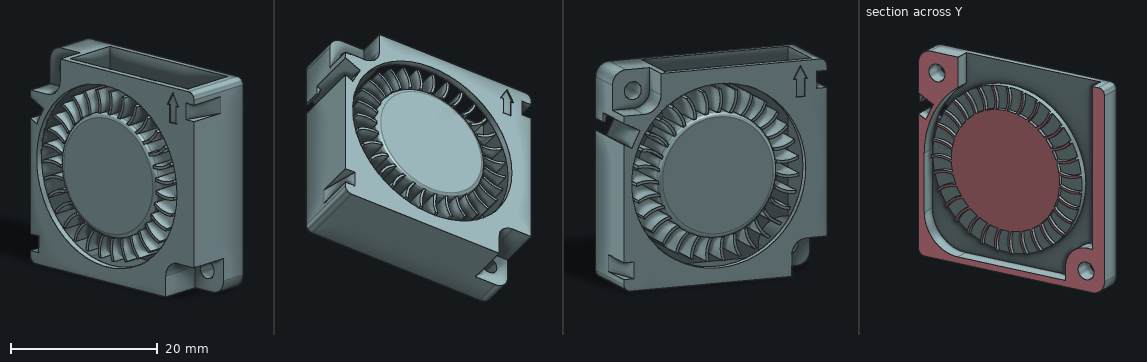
import cadquery as cq
import math

SIDE = 30.0
DEPTH = 10.0
PLATE = 1.0
HALF = SIDE / 2
FRONT = -DEPTH / 2
BACK = DEPTH / 2
INNER_FRONT = FRONT + PLATE
INNER_BACK = BACK - PLATE

LARGE_CORNER_R = 2.0
SMALL_CORNER_R = 1.0

FAN_X = -1.0
INLET_R = 25.7 / 2

HOLE_DIA = 2.5
HOLE_INSET = 3.0
UPPER_RECESS_R = 2.5
UPPER_RECESS_SIZE = HOLE_INSET + UPPER_RECESS_R
UPPER_RECESS_DEPTH = 4.0
LOWER_RECESS_R = 2.2
LOWER_RECESS_SIZE = HOLE_INSET + LOWER_RECESS_R
LOWER_RECESS_DEPTH = 6.0

OUTLET_LEFT = -8.55
CAVITY_RIGHT = 13.02
CAVITY_FLOOR = PLATE - HALF
CAVITY_CORNER_R = 5.4
VOLUTE_R = HALF - PLATE + FAN_X
SCREW_WALL_INSET = 6.35
SCREW_WALL_R = 3.5

SLOT_SLOPE = 0.5
SLOT_ANGLE = 180 - math.degrees(math.atan(SLOT_SLOPE))
SLOT_WIDTH = 2.65
SLOT_START = 13.68
SLOT_LENGTH = 6.0
HOOK_DEPTH = 2.73
HOOK_ROOT_WIDTH = 0.7
HOOK_MID_WIDTH = 0.42
HOOK_TIP_WIDTH = 0.33
HOOK_MID_Z = 7.65
HOOK_TIP_Z = 7.17

NOTCH_WIDTH = 1.5
NOTCH_HEIGHT = 2.35
NOTCH_DEPTH = 5.43
NOTCH_Z = 12.12

ARROW_X = 11.1
ARROW_TIP_Z = 14.28
ARROW_HEAD_Z = 12.45
ARROW_TAIL_Z = 9.95
ARROW_HEAD_WIDTH = 2.0
ARROW_SHAFT_WIDTH = 1.25
ARROW_DEPTH = 0.2

SEAT_R = 6.0
SEAT_HEIGHT = 0.5
DISC_R = 12.0
DISC_THICKNESS = PLATE
HUB_R = 17.5 / 2
HUB_ROUND = 0.6
ROTOR_SETBACK = 0.3
BLADE_COUNT = 31
BLADE_THICKNESS = 0.4
BLADE_CURVE_R = 4.5
BLADE_MID_R = 10.38
BLADE_MID_ANGLE = 5.9
BLADE_HALF_SWEEP = 24.0
ROTOR_FRONT = FRONT + ROTOR_SETBACK
DISC_BACK = INNER_BACK - SEAT_HEIGHT
DISC_FRONT = DISC_BACK - DISC_THICKNESS


def sketch_at(y):
    """XZ workplane at depth y; extrusions run toward +Y."""
    return cq.Workplane(cq.Plane(origin=(0, y, 0), xDir=(1, 0, 0), normal=(0, -1, 0)))


def fan_cylinder(radius, y_start, y_end):
    return sketch_at(y_start).center(FAN_X, 0).circle(radius).extrude(y_start - y_end)


def housing_block():
    block = cq.Workplane("XY").box(SIDE, DEPTH, SIDE)
    for edge, radius in (
        ("<X and >Z", LARGE_CORNER_R),
        (">X and <Z", LARGE_CORNER_R),
        (">X and >Z", SMALL_CORNER_R),
        ("<X and <Z", SMALL_CORNER_R),
    ):
        x_side, z_side = edge.split(" and ")
        block = block.faces(x_side).edges(z_side).fillet(radius)
    return block


def air_cavity():
    """Volute cavity: round at the upper left, stepped in around the lower screw hole."""
    arc_middle = 1 - math.sqrt(0.5)
    left = FAN_X - VOLUTE_R
    corner_mid = CAVITY_CORNER_R * arc_middle
    volute_end_angle = math.acos((OUTLET_LEFT - FAN_X) / VOLUTE_R)
    volute_mid_angle = (volute_end_angle + math.pi) / 2
    step = HALF - SCREW_WALL_INSET
    step_mid = step + SCREW_WALL_R * arc_middle
    profile = (
        sketch_at(INNER_FRONT)
        .moveTo(OUTLET_LEFT, HALF)
        .lineTo(CAVITY_RIGHT, HALF)
        .lineTo(CAVITY_RIGHT, -step)
        .lineTo(step + SCREW_WALL_R, -step)
        .threePointArc((step_mid, -step_mid), (step, -step - SCREW_WALL_R))
        .lineTo(step, CAVITY_FLOOR)
        .lineTo(left + CAVITY_CORNER_R, CAVITY_FLOOR)
        .threePointArc(
            (left + corner_mid, CAVITY_FLOOR + corner_mid),
            (left, CAVITY_FLOOR + CAVITY_CORNER_R),
        )
        .lineTo(left, 0)
        .threePointArc(
            (FAN_X + VOLUTE_R * math.cos(volute_mid_angle), VOLUTE_R * math.sin(volute_mid_angle)),
            (OUTLET_LEFT, VOLUTE_R * math.sin(volute_end_angle)),
        )
        .close()
    )
    return profile.extrude(INNER_FRONT - INNER_BACK)


def screw_recess(corner_x, corner_z, size, radius, depth):
    """Square pocket in a front corner, rounded at its inward corner."""
    pocket = cq.Workplane("XY").box(2 * size, depth, 2 * size).edges("|Y").fillet(radius)
    return pocket.translate((corner_x, FRONT + depth / 2, corner_z))


def screw_hole(x, z):
    return sketch_at(FRONT).center(x, z).circle(HOLE_DIA / 2).extrude(-DEPTH)


def slot_bar(start, length, y_start):
    """Radial bar of the slot's width, from y_start to the back face."""
    bar = sketch_at(y_start).center(start + length / 2, 0).rect(length, SLOT_WIDTH).extrude(y_start - BACK)
    return bar.rotate((0, 0, 0), (0, -1, 0), SLOT_ANGLE).translate((FAN_X, 0, 0))


def cable_hook():
    """Hook with a hollow inner edge, hanging from the upper side of the slot, at the back."""
    left = -HALF
    half_width_along_z = SLOT_WIDTH / 2 * math.hypot(1, SLOT_SLOPE)
    top_z = half_width_along_z + (FAN_X - left) * SLOT_SLOPE
    root_z = top_z - HOOK_ROOT_WIDTH * SLOT_SLOPE
    return (
        sketch_at(BACK - HOOK_DEPTH)
        .moveTo(left, top_z)
        .lineTo(left + HOOK_ROOT_WIDTH, root_z)
        .threePointArc((left + HOOK_MID_WIDTH, HOOK_MID_Z), (left + HOOK_TIP_WIDTH, HOOK_TIP_Z))
        .lineTo(left, HOOK_TIP_Z)
        .close()
        .extrude(-HOOK_DEPTH)
    )


def cable_slot():
    side_slot = slot_bar(SLOT_START, SLOT_LENGTH, FRONT).cut(cable_hook())
    back_slot = slot_bar(SEAT_R, SLOT_START - SEAT_R, INNER_BACK)
    return side_slot.union(back_slot)


def clip_notch(side):
    """Wedge, deepest at the front face; side is +1 for upper right, -1 for lower left."""
    outer = side * HALF
    wedge = (
        cq.Workplane("XY")
        .polyline([(outer, FRONT), (outer - side * NOTCH_WIDTH, FRONT), (outer, FRONT + NOTCH_DEPTH)])
        .close()
        .extrude(NOTCH_HEIGHT)
    )
    return wedge.translate((0, 0, side * NOTCH_Z - NOTCH_HEIGHT / 2))


def flow_arrow():
    head = ARROW_HEAD_WIDTH / 2
    shaft = ARROW_SHAFT_WIDTH / 2
    return (
        sketch_at(FRONT)
        .polyline([
            (ARROW_X, ARROW_TIP_Z),
            (ARROW_X + head, ARROW_HEAD_Z),
            (ARROW_X + shaft, ARROW_HEAD_Z),
            (ARROW_X + shaft, ARROW_TAIL_Z),
            (ARROW_X - shaft, ARROW_TAIL_Z),
            (ARROW_X - shaft, ARROW_HEAD_Z),
            (ARROW_X - head, ARROW_HEAD_Z),
        ])
        .close()
        .extrude(-ARROW_DEPTH)
    )


def make_housing():
    hole = HALF - HOLE_INSET
    housing = housing_block().cut(air_cavity()).cut(fan_cylinder(INLET_R, FRONT, INNER_FRONT))
    housing = housing.cut(
        screw_recess(-HALF, HALF, UPPER_RECESS_SIZE, UPPER_RECESS_R, UPPER_RECESS_DEPTH)
    )
    housing = housing.cut(
        screw_recess(HALF, -HALF, LOWER_RECESS_SIZE, LOWER_RECESS_R, LOWER_RECESS_DEPTH)
    )
    housing = housing.cut(screw_hole(-hole, hole)).cut(screw_hole(hole, -hole))
    housing = housing.cut(cable_slot()).cut(flow_arrow())
    for side in (1, -1):
        housing = housing.cut(clip_notch(side))
    return housing.union(fan_cylinder(SEAT_R, DISC_BACK, INNER_BACK))


def blade_outline_point(radius, sweep):
    """Point at an angle from the blade's middle, on an arc about its centre of curvature."""
    angle = math.radians(sweep)
    return BLADE_MID_R + radius * math.sin(angle), BLADE_CURVE_R - radius * math.cos(angle)


def blade_at_zero():
    """Blade on the +X side of the fan axis, overlong at both ends."""
    outer_r = BLADE_CURVE_R + BLADE_THICKNESS / 2
    inner_r = BLADE_CURVE_R - BLADE_THICKNESS / 2
    sweep = BLADE_HALF_SWEEP
    outline = (
        sketch_at(ROTOR_FRONT)
        .moveTo(*blade_outline_point(outer_r, -sweep))
        .threePointArc(blade_outline_point(outer_r, 0), blade_outline_point(outer_r, sweep))
        .lineTo(*blade_outline_point(inner_r, sweep))
        .threePointArc(blade_outline_point(inner_r, 0), blade_outline_point(inner_r, -sweep))
        .close()
    )
    return outline.extrude(ROTOR_FRONT - DISC_FRONT).translate((FAN_X, 0, 0))


def make_impeller():
    hub = fan_cylinder(HUB_R, ROTOR_FRONT, DISC_FRONT).faces("<Y").edges().fillet(HUB_ROUND)
    impeller = fan_cylinder(DISC_R, DISC_FRONT, DISC_BACK).union(hub)
    blade_zone = fan_cylinder(DISC_R, ROTOR_FRONT, DISC_FRONT).cut(
        fan_cylinder(HUB_R, ROTOR_FRONT, DISC_FRONT)
    )
    blade = blade_at_zero().intersect(blade_zone)
    for i in range(BLADE_COUNT):
        angle = BLADE_MID_ANGLE + i * 360 / BLADE_COUNT
        impeller = impeller.union(blade.rotate((FAN_X, 0, 0), (FAN_X, -1, 0), angle))
    return impeller


housing = make_housing()
impeller = make_impeller()
result = cq.Compound.makeCompound([housing.val(), impeller.val()])